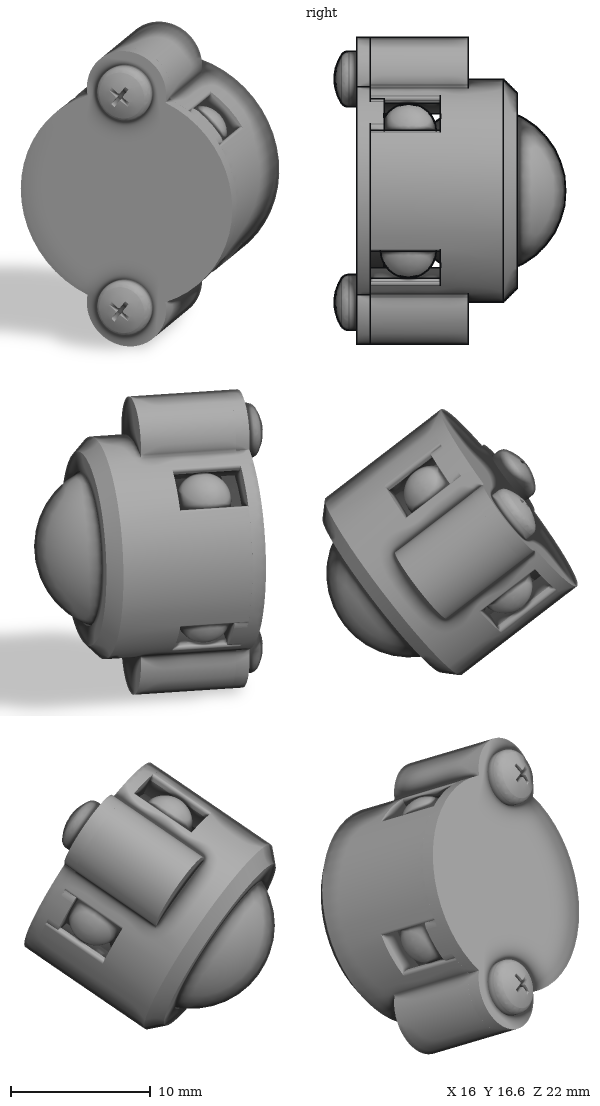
import cadquery as cq
import math


total_height = 22
housing_radius = 16.0 / 2
lug_radius = total_height / 2 - housing_radius
lug_offset = housing_radius
plate_thickness = 1.0
housing_front = 11.5
lug_front = 8.0
front_chamfer = 1.01
edge_round = 0.2

ball_radius = 12.0 / 2
ball_center_y = 9.0
socket_clearance = 0.1
socket_radius = ball_radius + socket_clearance

bearing_radius = 4.0 / 2
bearing_pitch = housing_radius - bearing_radius
bearing_reach = ball_radius + bearing_radius
bearing_center_y = ball_center_y - math.sqrt(bearing_reach**2 - bearing_pitch**2)
bearing_angles = [45, 135, 225, 315]

pocket_radius = 2.05
slot_width = 3.12
slot_front = 6.0

step_height = 1.0
step_radius = ball_radius
tab_width = 4.0
tab_corner = 1.0
tab_angles = [45, 225]

head_radius = 4.0 / 2
head_height = 1.6
dome_radius = 3.12
head_round = 0.65
recess_angle = 53
recess_length = 2.07
recess_floor_length = 0.65
recess_width = 0.3
recess_depth = 0.55
recess_center_radius = 0.29
recess_tip_radius = 0.1


def cylinder(radius, y_start, y_end, x=0, z=0):
    """Cylinder along +Y from y_start to y_end."""
    return cq.Workplane(
        cq.Solid.makeCylinder(radius, y_end - y_start, cq.Vector(x, y_start, z), cq.Vector(0, 1, 0))
    )


def radial_bar(width, length, y_start, y_end):
    """Bar from the main axis out along +X."""
    return cq.Workplane().box(length, y_end - y_start, width, centered=(False, False, True)).translate(
        (0, y_start, 0)
    )


def turned(shape, angle):
    """Copy of a shape turned about the main axis, from +X towards +Z."""
    return shape.rotate((0, 0, 0), (0, 1, 0), -angle)


def with_lugs(body, y_start, y_end):
    """Add the two screw lugs above and below a round body."""
    for side in (1, -1):
        body = body.union(cylinder(lug_radius, y_start, y_end, z=side * lug_offset))
    return body


def round_edge_at(body, x, y, z):
    """Round the lengthwise edge that passes through a point."""
    return body.edges("|Y").edges(cq.NearestToPointSelector((x, y, z))).fillet(edge_round)


def make_ball():
    return cq.Workplane().sphere(ball_radius).translate((0, ball_center_y, 0))


def make_bearing(angle):
    ball = cq.Workplane().sphere(bearing_radius).translate((bearing_pitch, bearing_center_y, 0))
    return turned(ball, angle)


def make_plate(bearings):
    plate = with_lugs(cylinder(housing_radius, 0, plate_thickness), 0, plate_thickness)
    step_top = plate_thickness + step_height
    plate = plate.union(cylinder(step_radius, plate_thickness, step_top))

    tab = radial_bar(tab_width, lug_offset + lug_radius, plate_thickness, step_top)
    tab = tab.intersect(cylinder(housing_radius, plate_thickness, step_top))
    for side in (1, -1):
        corner = cq.NearestToPointSelector((housing_radius, step_top - step_height / 2, side * tab_width / 2))
        tab = tab.edges("|Y").edges(corner).fillet(tab_corner)
    for angle in tab_angles:
        plate = plate.union(turned(tab, angle))

    for bearing in bearings:
        plate = plate.cut(bearing)
    return plate


def make_housing(plate):
    housing = cylinder(housing_radius, plate_thickness, housing_front)
    housing = housing.faces(">Y").chamfer(front_chamfer)
    housing = with_lugs(housing, plate_thickness, lug_front)

    corner_z = lug_offset - lug_radius**2 / (2 * housing_radius)
    corner_x = math.sqrt(housing_radius**2 - corner_z**2)
    corner_y = (plate_thickness + lug_front) / 2
    for x in (corner_x, -corner_x):
        for z in (corner_z, -corner_z):
            housing = round_edge_at(housing, x, corner_y, z)

    slot = radial_bar(slot_width, total_height / 2, plate_thickness, slot_front)
    half_slot_angle = math.asin(slot_width / 2 / housing_radius)
    slot_y = (plate_thickness + slot_front) / 2
    for angle in bearing_angles:
        housing = housing.cut(turned(slot, angle))
    for angle in bearing_angles:
        for side in (1, -1):
            edge_angle = math.radians(angle) + side * half_slot_angle
            x = housing_radius * math.cos(edge_angle)
            z = housing_radius * math.sin(edge_angle)
            housing = round_edge_at(housing, x, slot_y, z)

    pocket = cylinder(pocket_radius, plate_thickness, slot_front, x=bearing_pitch)
    for angle in bearing_angles:
        housing = housing.cut(turned(pocket, angle))

    housing = housing.cut(cylinder(socket_radius, plate_thickness, ball_center_y))
    housing = housing.cut(cq.Workplane().sphere(socket_radius).translate((0, ball_center_y, 0)))

    return housing.cut(plate)


def make_screw(z):
    head = cylinder(head_radius, -head_height, 0)
    head = head.intersect(cq.Workplane().sphere(dome_radius).translate((0, dome_radius - head_height, 0)))
    rim_sag = dome_radius - math.sqrt(dome_radius**2 - head_radius**2)
    rim = cq.NearestToPointSelector((0, rim_sag - head_height, 0))
    head = head.edges("%CIRCLE").edges(rim).fillet(head_round)

    outer_y = -head_height
    floor_y = recess_depth - head_height
    center = cq.Vector(0, outer_y, 0)
    recess = cq.Workplane(
        cq.Solid.makeCone(recess_center_radius, recess_tip_radius, recess_depth, center, cq.Vector(0, 1, 0))
    )
    arm = (
        cq.Workplane("XY")
        .moveTo(-recess_length / 2, outer_y)
        .lineTo(recess_length / 2, outer_y)
        .lineTo(recess_floor_length / 2, floor_y)
        .lineTo(-recess_floor_length / 2, floor_y)
        .close()
        .extrude(recess_width / 2, both=True)
    )
    for angle in (recess_angle, recess_angle + 90):
        recess = recess.union(turned(arm, angle))
    return head.cut(recess).translate((0, 0, z))


ball = make_ball()
bearings = [make_bearing(angle) for angle in bearing_angles]
plate = make_plate(bearings)
housing = make_housing(plate)
screws = [make_screw(z) for z in (lug_offset, -lug_offset)]

bodies = [housing, plate, ball, *bearings, *screws]
result = cq.Compound.makeCompound([body.solids().val() for body in bodies])